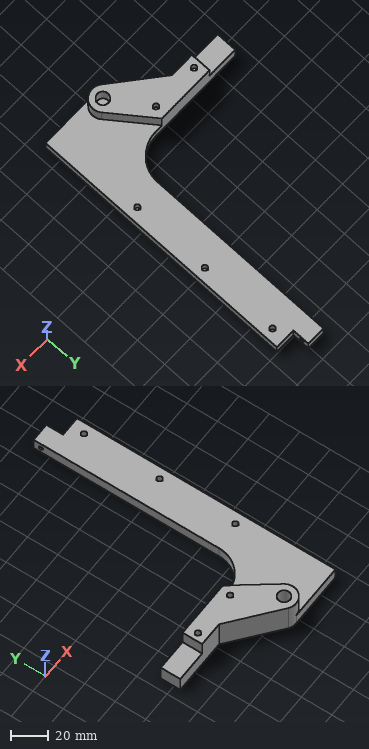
import cadquery as cq
import math

left_end = -71.0
right_side = 36.68
back_end = 172.98
plate_thickness = 8.0
arm_height = 19.5

leg_width = 25.0
leg_left = right_side - leg_width
corner_radius = 20.0
tip_width = 12.0
tip_length = 11.0

pivot_radius = 8.0
pivot_hole_diameter = 7.8
pivot_hole_depth = arm_height - plate_thickness
arm_back = 31.0
arm_width = 13.0
arm_front = arm_back - arm_width
front_bend_x = -34.9
back_bend_x = -13.3
step_x = -50.7
step_height = 10.5

screw_diameter = 3.5
screw_depth = 6.0
arm_screw_places = [(-46.1, 24.0), (-16.1, 24.0)]
leg_screw_count = 3
leg_screw_pitch = 50.0
first_leg_screw = (29.7, 53.0)
leg_screw_drift = 0.4

cross_hole_diameter = 2.6
cross_hole_inset = 4.9


def tangent_point(x, y, side):
    """Point where a line from (x, y) touches the pivot circle; side is +1 or -1."""
    angle = math.atan2(y, x) + side * math.acos(pivot_radius / math.hypot(x, y))
    return pivot_radius * math.cos(angle), pivot_radius * math.sin(angle)


def make_plate():
    """L-shaped plate with a narrowed tip and a rounded inner corner."""
    return (
        cq.Workplane("XY")
        .moveTo(0, -pivot_radius)
        .lineTo(right_side, -pivot_radius)
        .lineTo(right_side, back_end - tip_length)
        .lineTo(leg_left + tip_width, back_end - tip_length)
        .lineTo(leg_left + tip_width, back_end)
        .lineTo(leg_left, back_end)
        .lineTo(leg_left, arm_back + corner_radius)
        .radiusArc((leg_left - corner_radius, arm_back), corner_radius)
        .lineTo(back_bend_x, arm_back)
        .lineTo(0, 0)
        .close()
        .extrude(plate_thickness)
    )


def make_arm():
    """Cranked arm, tangent to its round pivot end, with a lowered outer end."""
    front_touch = tangent_point(front_bend_x, arm_front, 1)
    back_touch = tangent_point(back_bend_x, arm_back, -1)
    middle_angle = math.atan2(front_touch[1] + back_touch[1], front_touch[0] + back_touch[0])
    round_middle = (pivot_radius * math.cos(middle_angle), pivot_radius * math.sin(middle_angle))
    arm = (
        cq.Workplane("XY")
        .moveTo(left_end, arm_back)
        .lineTo(left_end, arm_front)
        .lineTo(front_bend_x, arm_front)
        .lineTo(*front_touch)
        .threePointArc(round_middle, back_touch)
        .lineTo(back_bend_x, arm_back)
        .close()
        .extrude(arm_height)
    )
    step = cq.Workplane("XY").box(
        step_x - left_end, arm_width, arm_height - step_height, centered=False
    )
    return arm.cut(step.translate((left_end, arm_front, step_height)))


def drill_down(body, places, top, diameter, depth):
    """Cut flat-bottomed holes of one size downward from the height top."""
    drills = (
        cq.Workplane("XY", origin=(0, 0, top))
        .pushPoints(places)
        .circle(diameter / 2)
        .extrude(-depth)
    )
    return body.cut(drills)


def drill_tip(body):
    """Cut the cross hole through the tip, along X at half the plate thickness."""
    drill = (
        cq.Workplane("YZ", origin=(leg_left, 0, 0))
        .center(back_end - cross_hole_inset, plate_thickness / 2)
        .circle(cross_hole_diameter / 2)
        .extrude(tip_width)
    )
    return body.cut(drill)


leg_screw_places = [
    (first_leg_screw[0] + i * leg_screw_drift, first_leg_screw[1] + i * leg_screw_pitch)
    for i in range(leg_screw_count)
]

result = make_plate().union(make_arm())
result = drill_down(result, [(0, 0)], arm_height, pivot_hole_diameter, pivot_hole_depth)
result = drill_down(result, arm_screw_places, arm_height, screw_diameter, screw_depth)
result = drill_down(result, leg_screw_places, plate_thickness, screw_diameter, screw_depth)
result = drill_tip(result)